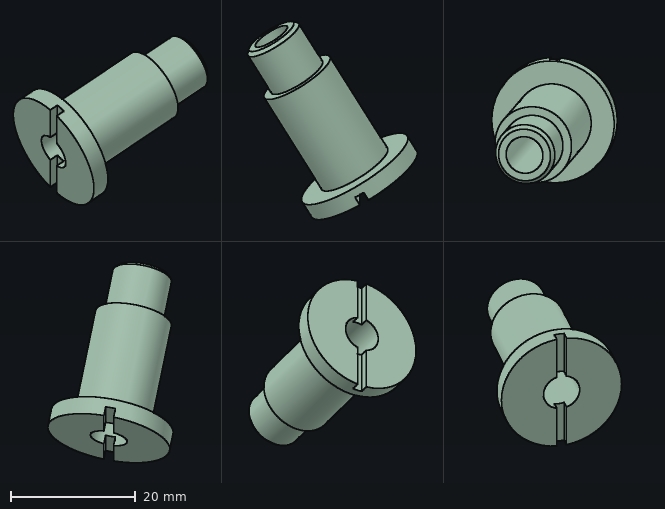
import cadquery as cq

total_length = 29.0
head_diameter = 20.0
head_thickness = 3.0
body_diameter = 12.5
body_length = 18.0
tip_diameter = 9.7
tip_length = total_length - head_thickness - body_length
tip_chamfer = 0.6

bore_diameter = 6.0
slot_width = 1.6
slot_depth = 1.5


def cylinder_along_y(diameter, start, length):
    """Solid cylinder on the Y axis, from y = start towards +Y."""
    plane = cq.Plane(origin=(0, start, 0), xDir=(1, 0, 0), normal=(0, 1, 0))
    return cq.Workplane(plane).circle(diameter / 2).extrude(length)


head = cylinder_along_y(head_diameter, 0, head_thickness)
body = cylinder_along_y(body_diameter, head_thickness, body_length)
tip = cylinder_along_y(tip_diameter, head_thickness + body_length, tip_length)
tip = tip.faces(">Y").edges().chamfer(tip_chamfer)
pin = head.union(body).union(tip)

bore = cylinder_along_y(bore_diameter, 0, total_length)

slot = cq.Workplane("XY").box(
    slot_width, slot_depth, head_diameter, centered=(True, False, True)
)

result = pin.cut(bore).cut(slot)